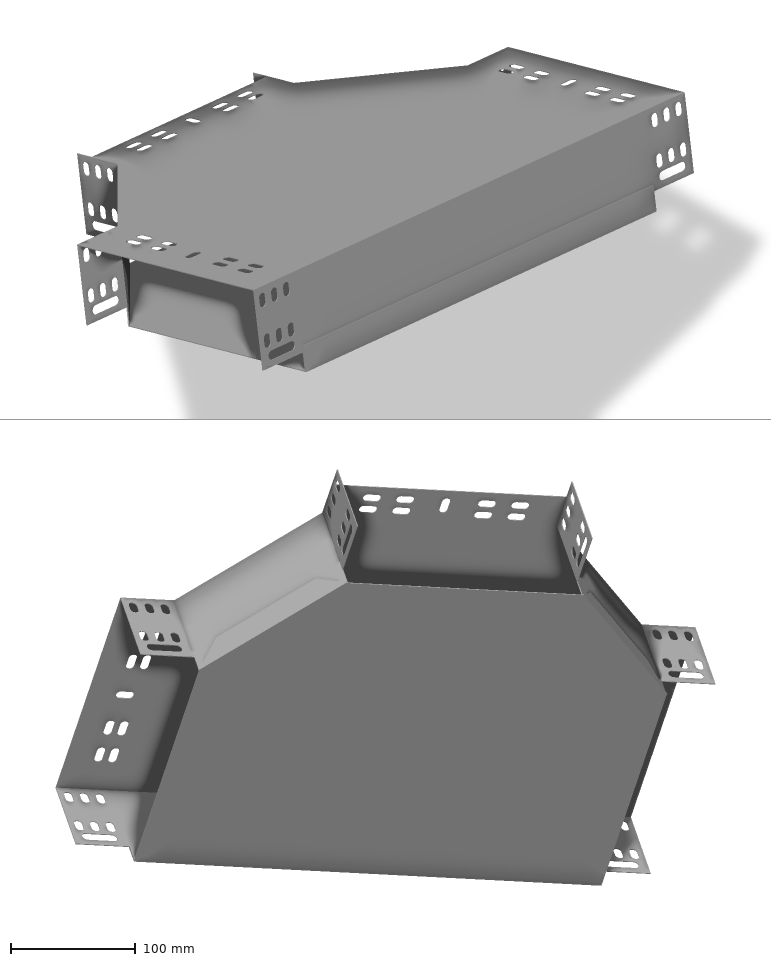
import cadquery as cq
import math


sheet = 0.8
clear_width = 200.0
tray_width = clear_width + 2 * sheet
branch_half_width = tray_width / 2

ear_length = 46.0
corner_x = 200.0
corner_y = tray_width + corner_x - branch_half_width
run_half_length = corner_x + ear_length
branch_end = corner_y + ear_length
branch_base_length = 30.0
branch_base_end = corner_y + branch_base_length

wall_depth = 86.0
ear_depth = 69.8

lip_height = 22.8
cover_bottom = -wall_depth - sheet
lip_top = cover_bottom + lip_height

base_slot_length = 15.0
base_slot_width = 7.0
inner_slot_side = 35.0
outer_slot_side = 63.5
near_slot_row = 6.5
far_slot_row = 18.5
middle_slot_row = 14.5

ear_hole_length = 12.0
ear_hole_width = 7.0
ear_hole_count = 3
first_ear_hole_row = 10.4
ear_hole_pitch = 13.6
upper_hole_depth = 11.7
lower_hole_depth = 46.7
ear_slot_length = 30.0
ear_slot_width = 8.0
ear_slot_row = 23.1
ear_slot_depth = 60.2

spin = -144.125
tilt = 34.22
heading = -149.685
pose_offset = (103.43, -11.54, 83.95)

margin = 5.0

bend_shift = sheet * math.tan(math.radians(22.5))


def mirrored(points):
    """Close a half outline, running from the back to the branch end, with its mirror image."""
    return points + [(-x, y) for x, y in reversed(points)]


def prism(points, bottom, top):
    """Solid with the given outline between two heights."""
    return cq.Workplane("XY").workplane(offset=bottom).polyline(points).close().extrude(top - bottom)


def box(x_range, y_range, z_range):
    """Axis-aligned box from its three ranges."""
    sizes = [high - low for low, high in (x_range, y_range, z_range)]
    corner = (x_range[0], y_range[0], z_range[0])
    return cq.Workplane("XY").box(*sizes, centered=False).translate(corner)


def slots(plane, centers, length, width, angle, depth):
    """Round-ended cutters through a sheet, reaching `depth` to both sides of the plane."""
    sketch = cq.Workplane(plane).pushPoints(centers).slot2D(length, width, angle)
    return sketch.extrude(depth, both=True)


def tray_shell():
    """Base and walls, open below and at the three ends, with shorter walls on the ears."""
    outline = mirrored([
        (run_half_length, 0),
        (run_half_length, tray_width),
        (corner_x, tray_width),
        (branch_half_width, corner_y),
        (branch_half_width, branch_end),
    ])
    cavity = mirrored([
        (run_half_length + margin, sheet),
        (run_half_length + margin, tray_width - sheet),
        (corner_x - bend_shift, tray_width - sheet),
        (branch_half_width - sheet, corner_y - bend_shift),
        (branch_half_width - sheet, branch_end + margin),
    ])
    shell = prism(outline, -wall_depth, 0).cut(prism(cavity, -wall_depth - margin, -sheet))

    below_ears = (-wall_depth - margin, -ear_depth)
    run_end = (corner_x, run_half_length + margin)
    for side in (-1, 1):
        x_range = sorted(side * x for x in run_end)
        shell = shell.cut(box(x_range, (-margin, tray_width + margin), below_ears))
    branch_x = (-branch_half_width - margin, branch_half_width + margin)
    shell = shell.cut(box(branch_x, (corner_y, branch_end + margin), below_ears))

    inside_branch = (-branch_half_width + sheet, branch_half_width - sheet)
    return shell.cut(box(inside_branch, (branch_base_end, branch_end + margin), (-margin, margin)))


def end_slots():
    """Base slots of one tray end, for an end centred on X = 0 whose corner line is Y = 0."""
    sides = (-outer_slot_side, -inner_slot_side, inner_slot_side, outer_slot_side)
    crosswise = [(x, y) for x in sides for y in (near_slot_row, far_slot_row)]
    cutter = slots("XY", crosswise, base_slot_length, base_slot_width, 0, margin)
    middle = [(0, middle_slot_row)]
    return cutter.union(slots("XY", middle, base_slot_length, base_slot_width, 90, margin))


def ear_holes():
    """Holes of one pair of ears, for an end centred on X = 0 whose corner line is Y = 0."""
    reach = branch_half_width + margin
    rows = [first_ear_hole_row + i * ear_hole_pitch for i in range(ear_hole_count)]
    holes = [(row, -depth) for row in rows for depth in (upper_hole_depth, lower_hole_depth)]
    cutter = slots("YZ", holes, ear_hole_length, ear_hole_width, 90, reach)
    long_slot = [(ear_slot_row, -ear_slot_depth)]
    return cutter.union(slots("YZ", long_slot, ear_slot_length, ear_slot_width, 0, reach))


def make_tray():
    """Tray tee with the slots and ear holes of its three ends."""
    tray = tray_shell()
    cutter = end_slots().union(ear_holes())
    tray = tray.cut(cutter.translate((0, corner_y, 0)))
    for side in (-1, 1):
        run_end = cutter.rotate((0, 0, 0), (0, 0, 1), -90 * side)
        tray = tray.cut(run_end.translate((side * corner_x, tray_width / 2, 0)))
    return tray


def diagonal_lip():
    """Tapered lip along the +X diagonal, lying on the outside of the tray wall."""
    half_length = math.hypot(corner_x - branch_half_width, corner_y - tray_width) / 2
    middle = ((corner_x + branch_half_width) / 2, (tray_width + corner_y) / 2, cover_bottom)
    outward = cq.Plane(origin=middle, xDir=(-1, 1, 0), normal=(1, 1, 0))
    profile = [
        (-half_length, 0),
        (half_length, 0),
        (half_length - lip_height, lip_height),
        (-half_length + lip_height, lip_height),
    ]
    return cq.Workplane(outward).polyline(profile).close().extrude(sheet)


def make_cover():
    """Flat cover under the walls with a straight back lip and two tapered diagonal lips."""
    outline = mirrored([
        (corner_x, -sheet),
        (corner_x, tray_width),
        (corner_x + sheet / math.sqrt(2), tray_width + sheet / math.sqrt(2)),
        (branch_half_width + sheet / math.sqrt(2), corner_y + sheet / math.sqrt(2)),
        (branch_half_width, corner_y),
    ])
    cover = prism(outline, cover_bottom, -wall_depth)
    cover = cover.union(box((-corner_x, corner_x), (-sheet, 0), (cover_bottom, lip_top)))
    lip = diagonal_lip()
    return cover.union(lip).union(lip.mirror("YZ"))


def posed(body):
    """Turn a flat-modelled body to its tilted pose."""
    turned = body.rotate((0, 0, 0), (0, 0, 1), spin)
    turned = turned.rotate((0, 0, 0), (1, 0, 0), tilt)
    turned = turned.rotate((0, 0, 0), (0, 0, 1), heading)
    return turned.translate(pose_offset)


tray = posed(make_tray())
cover = posed(make_cover())

result = cq.Compound.makeCompound([tray.val(), cover.val()])